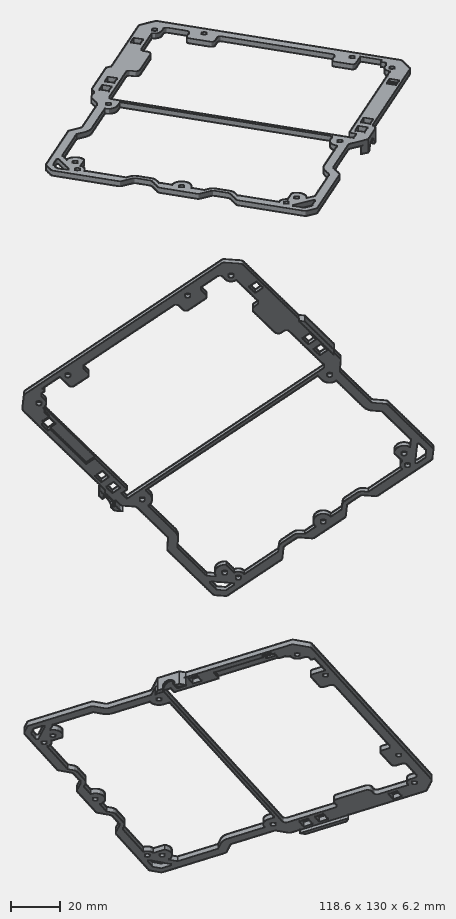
import math

import cadquery as cq

frame_width = 115.0
frame_length = 130.0
overall_width = 118.6
overall_height = 6.2
plate_thickness = 2.4
half_width = frame_width / 2
half_length = frame_length / 2

bend_radius = 1.5
top_chamfer = 5.5
bottom_chamfer = 3.7
rail_width = 4.0
waist_inset = 4.3
waist_top_y = -2.9
waist_bottom_y = -31.8
half_waist = half_width - waist_inset

wave_x = 16.6
wave_half_base = 8.1
wave_rise = 4.5
wave_half_crest = wave_half_base - wave_rise
wave_rail_width = 2.0

half_bend = math.radians(45) / 2

crossbar_top_y = -1.7
crossbar_bottom_y = -3.2

upper_half_width = 50.45
upper_top_y = 61.0
upper_fillet = 1.5
upper_boss_radius = 3.0
tab_bottom_y = 55.4
left_tab_x = (-36.3, -24.4)
right_tab_x = (25.3, 35.3)
wall_tab_x = -45.6
wall_tab_y = (22.8, 39.9)
wall_tab_fillet = 2.0
top_notch_x = 44.4
top_notch_y = 62.6
corner_notch_x = 53.5
corner_notch_y = 1.8

hole_diameter = 2.2
upper_corner_hole = (50.25, 57.8)
left_tab_hole = (-30.4, 61.2)
right_tab_hole = (32.3, 61.2)
waist_hole = (49.0, -5.9)
lower_inner_hole = (46.9, -55.4)
lower_outer_hole = (44.25, -60.8)
centre_hole = (0.0, -61.0)

large_boss_radius = 4.0
small_boss_radius = 3.0
lower_boss_limit_x = 43.9
lower_bottom_y = -half_length + rail_width
lower_chamfer = 9.1

square_size = 4.0
square_x = 54.2
square_ys = (46.9, 13.3, 6.2)

pocket_depth = 1.2
pocket_outer_x = 55.0
pocket_y = (22.2, 50.0)
pocket_step_x = 51.4
pocket_step_y = 52.9

cutout_outer_x = 54.75
cutout_bottom_y = -62.5
cutout_leg = 8.0
cutout_chamfer = 2.5
cutout_fillet = 0.5

left_lug_depth = 1.7
right_lug_depth = overall_width - frame_width - left_lug_depth
left_lug_y = (1.7, 23.9)
left_lug_height = 4.0
right_lug_top_y = 10.8
port_y = 4.0
port_diameter = 5.5
port_drop = 5.5
port_centre_z = plate_thickness - port_drop
port_recess_width = 6.5
port_recess_depth = 0.9


def rounded_outline(corners):
    """Closed wire through (x, y, radius) corners; a radius of 0 keeps a corner sharp."""
    pieces = []
    for i, (x, y, radius) in enumerate(corners):
        here = cq.Vector(x, y)
        to_last = (cq.Vector(*corners[i - 1][:2]) - here).normalized()
        to_next = (cq.Vector(*corners[(i + 1) % len(corners)][:2]) - here).normalized()
        if radius == 0:
            pieces.append((here, None, here))
            continue
        half_angle = to_last.getAngle(to_next) / 2
        tangent_length = radius / math.tan(half_angle)
        middle_distance = radius / math.sin(half_angle) - radius
        middle = here + (to_last + to_next).normalized() * middle_distance
        pieces.append((here + to_last * tangent_length, middle, here + to_next * tangent_length))

    first_end = pieces[0][2]
    outline = cq.Workplane("XY").moveTo(first_end.x, first_end.y)
    for start, middle, end in pieces[1:] + pieces[:1]:
        if middle is None:
            outline = outline.lineTo(end.x, end.y)
            continue
        outline = outline.lineTo(start.x, start.y)
        outline = outline.threePointArc((middle.x, middle.y), (end.x, end.y))
    return outline.close()


def mirrored(right_half):
    """Full loop of corners from those on the +X side."""
    left_half = [(-x, y, radius) for x, y, radius in reversed(right_half)]
    return right_half + left_half


def both_sides(place):
    x, y = place
    return [(x, y), (-x, y)]


def body_outline():
    r = bend_radius
    bottom = -half_length
    crest = bottom + wave_rise
    return rounded_outline(
        mirrored(
            [
                (half_width - top_chamfer, half_length, r),
                (half_width, half_length - top_chamfer, r),
                (half_width, waist_top_y, r),
                (half_waist, waist_top_y - waist_inset, r),
                (half_waist, waist_bottom_y + waist_inset, r),
                (half_width, waist_bottom_y, r),
                (half_width, bottom + bottom_chamfer, r),
                (half_width - bottom_chamfer, bottom, r),
                (wave_x + wave_half_base, bottom, r),
                (wave_x + wave_half_crest, crest, r),
                (wave_x - wave_half_crest, crest, r),
                (wave_x - wave_half_base, bottom, r),
            ]
        )
    )


def upper_window():
    r = upper_fillet
    side = upper_half_width
    top = upper_top_y
    boss_x = upper_corner_hole[0] - upper_boss_radius
    boss_y = upper_corner_hole[1] - upper_boss_radius
    corners = [
        (-side, crossbar_top_y, r),
        (-side, wall_tab_y[0], r),
        (wall_tab_x, wall_tab_y[0], wall_tab_fillet),
        (wall_tab_x, wall_tab_y[1], wall_tab_fillet),
        (-side, wall_tab_y[1], r),
        (-side, boss_y, 0),
        (-boss_x, boss_y, upper_boss_radius),
        (-boss_x, top, r),
        (left_tab_x[0], top, r),
        (left_tab_x[0], tab_bottom_y, r),
        (left_tab_x[1], tab_bottom_y, r),
        (left_tab_x[1], top, r),
        (right_tab_x[0], top, r),
        (right_tab_x[0], tab_bottom_y, r),
        (right_tab_x[1], tab_bottom_y, r),
        (right_tab_x[1], top_notch_y, 0),
        (top_notch_x, top_notch_y, 0),
        (top_notch_x, top, 0),
        (boss_x, top, r),
        (boss_x, boss_y, upper_boss_radius),
        (side, boss_y, 0),
        (side, corner_notch_y, 0),
        (corner_notch_x, corner_notch_y, 0),
        (corner_notch_x, crossbar_top_y, 0),
    ]
    return rounded_outline(corners).extrude(plate_thickness)


def lower_window():
    boss_x = waist_hole[0] - large_boss_radius
    boss_y = waist_hole[1] - large_boss_radius
    lower_side = half_width - rail_width
    waist_side = half_waist - rail_width
    rail_shift = rail_width * math.tan(half_bend)
    wave_shift = wave_rail_width * math.tan(half_bend)
    crest = -half_length + wave_rise + wave_rail_width
    half_crest = wave_half_crest + wave_shift
    half_base = half_crest + crest - lower_bottom_y
    crest_radius = bend_radius + wave_rail_width
    corners = mirrored(
        [
            (boss_x, crossbar_bottom_y, 0),
            (boss_x, boss_y, large_boss_radius),
            (waist_side, boss_y, 0),
            (waist_side, waist_bottom_y + waist_inset - rail_shift, bend_radius + rail_width),
            (lower_side, waist_bottom_y - rail_shift, 0),
            (lower_side, lower_bottom_y + lower_chamfer, 0),
            (lower_side - lower_chamfer, lower_bottom_y, 0),
            (wave_x + half_base, lower_bottom_y, 0),
            (wave_x + half_crest, crest, crest_radius),
            (wave_x - half_crest, crest, crest_radius),
            (wave_x - half_base, lower_bottom_y, 0),
        ]
    )
    window = rounded_outline(corners).extrude(plate_thickness)
    return window.cut(lower_bosses())


def lower_bosses():
    """Round bosses along the bottom rail; the upper corner pair is cut flat towards the middle."""
    inner = cq.Workplane("XY").pushPoints(both_sides(lower_inner_hole))
    inner = inner.circle(large_boss_radius).extrude(plate_thickness)
    middle = cq.Workplane("XY").box(
        2 * lower_boss_limit_x, frame_length, plate_thickness, centered=(True, True, False)
    )
    outer = cq.Workplane("XY").pushPoints(both_sides(lower_outer_hole))
    outer = outer.circle(small_boss_radius).extrude(plate_thickness)
    centre = cq.Workplane("XY").center(*centre_hole).circle(large_boss_radius).extrude(plate_thickness)
    return inner.cut(middle).union(outer).union(centre)


def screw_holes():
    places = [left_tab_hole, right_tab_hole, centre_hole]
    for place in (upper_corner_hole, waist_hole, lower_inner_hole, lower_outer_hole):
        places += both_sides(place)
    return cq.Workplane("XY").pushPoints(places).circle(hole_diameter / 2).extrude(plate_thickness)


def square_windows():
    places = []
    for y in square_ys:
        places += both_sides((square_x, y))
    return cq.Workplane("XY").pushPoints(places).rect(square_size, square_size).extrude(plate_thickness)


def underside_pocket():
    """Thins the right rail from below; its upper end narrows and runs out at 45 degrees."""
    low, high = pocket_y
    inner_x = upper_half_width
    corners = [
        (inner_x, low),
        (pocket_outer_x, low),
        (pocket_outer_x, high),
        (pocket_step_x, high),
        (pocket_step_x, pocket_step_y),
        (inner_x, pocket_step_y + pocket_step_x - inner_x),
    ]
    return cq.Workplane("XY").polyline(corners).close().extrude(pocket_depth)


def corner_cutout():
    x = cutout_outer_x
    y = cutout_bottom_y
    r = cutout_fillet
    corners = [
        (x, y + cutout_leg, r),
        (x, y + cutout_chamfer, r),
        (x - cutout_chamfer, y, r),
        (x - cutout_leg, y, r),
    ]
    return rounded_outline(corners).extrude(plate_thickness)


def left_lug():
    low, high = left_lug_y
    outer_x = half_width + left_lug_depth
    corners = [
        (-half_width, low),
        (-outer_x, low + left_lug_depth),
        (-outer_x, high - left_lug_depth),
        (-half_width, high),
    ]
    lug = cq.Workplane("XY").workplane(offset=plate_thickness - left_lug_height)
    return lug.polyline(corners).close().extrude(left_lug_height)


def right_lug():
    """Deep lug whose lower end runs on along the diagonal of the waist, wrapped round the body's bend."""
    bottom_z = plate_thickness - overall_height
    outer_x = half_width + right_lug_depth
    bend_end = bend_radius * math.tan(half_bend) * math.sin(2 * half_bend)
    corners = [
        (half_width, right_lug_top_y),
        (outer_x, right_lug_top_y - right_lug_depth),
        (outer_x, waist_top_y + right_lug_depth),
        (half_width - bend_end, waist_top_y - bend_end),
        (half_width - bend_end, waist_top_y),
        (half_width, waist_top_y + bend_radius),
    ]
    lug = cq.Workplane("XY").workplane(offset=bottom_z).polyline(corners).close().extrude(overall_height)
    body = body_outline().extrude(overall_height).translate((0, 0, bottom_z))
    lug = lug.cut(body)

    port = cq.Workplane("YZ", origin=(half_width, port_y, port_centre_z))
    port = port.circle(port_diameter / 2).extrude(right_lug_depth)
    recess = cq.Workplane("XY").box(
        port_recess_depth, port_recess_width, -bottom_z, centered=(False, True, False)
    )
    recess = recess.translate((half_width, port_y, bottom_z))
    return lug.cut(port).cut(recess)


frame = body_outline().extrude(plate_thickness)
frame = frame.union(left_lug()).union(right_lug())
frame = frame.cut(upper_window()).cut(lower_window())
frame = frame.cut(screw_holes()).cut(square_windows()).cut(underside_pocket())
frame = frame.cut(corner_cutout()).cut(corner_cutout().mirror("YZ"))

result = cq.Workplane("XY").newObject([frame.val()])